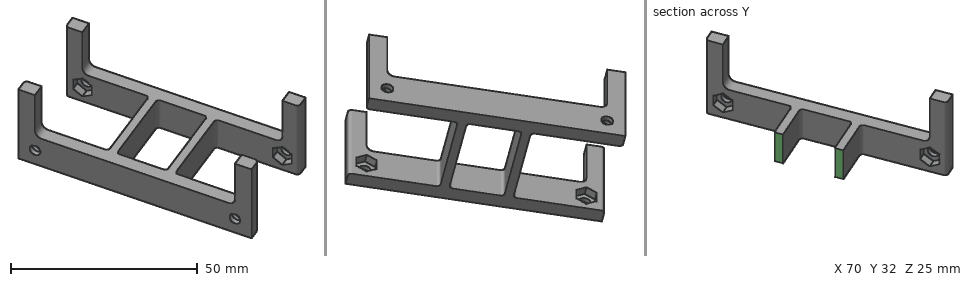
import math

import cadquery as cq

length = 70.0
width = 32.0
height = 25.0

plate_thickness = 4.0
rail_height = 10.0
post_width = 5.0
post_root_radius = 2.0
post_edge_radius = 1.0

rib_gap = 15.0
rib_thickness = 2.5
rib_corner_radius = 1.0

bolt_diameter = 3.2
bolt_height = rail_height / 2
nut_sides = 6
nut_across_flats = 5.6
nut_pocket_depth = 2.5

half_length = length / 2
half_width = width / 2
inner_face_y = half_width - plate_thickness
inner_width = 2 * inner_face_y
rib_inner_x = rib_gap / 2
rib_outer_x = rib_inner_x + rib_thickness
end_bay_length = half_length - rib_outer_x
post_inner_x = half_length - post_width
rail_end_x = post_inner_x - post_root_radius
post_foot_z = rail_height + post_root_radius
bolt_x = post_inner_x
nut_across_corners = nut_across_flats / math.cos(math.pi / nut_sides)


def make_side_plates():
    """U-shaped profile, extruded as two plates on the outer sides of the frame."""
    plate = (
        cq.Workplane("XZ", origin=(0, half_width, 0))
        .moveTo(-half_length, 0)
        .lineTo(half_length, 0)
        .lineTo(half_length, height)
        .lineTo(post_inner_x, height)
        .lineTo(post_inner_x, post_foot_z)
        .radiusArc((rail_end_x, rail_height), post_root_radius)
        .lineTo(-rail_end_x, rail_height)
        .radiusArc((-post_inner_x, post_foot_z), post_root_radius)
        .lineTo(-post_inner_x, height)
        .lineTo(-half_length, height)
        .close()
        .extrude(plate_thickness)
    )
    plate = plate.edges("|Z and (<X or >X)").edges("<Y").fillet(post_edge_radius)
    return plate.union(plate.mirror("XZ"))


def make_ribs():
    """Rail-height web with rounded bays: a closed middle window and two open ends."""
    web_length = 2 * (rib_outer_x + rib_corner_radius)
    web = cq.Workplane("XY").rect(web_length, inner_width).extrude(rail_height)

    window = (
        cq.Workplane("XY")
        .rect(rib_gap, inner_width)
        .extrude(rail_height)
        .edges("|Z")
        .fillet(rib_corner_radius)
    )
    web = web.cut(window)

    bay_center_x = rib_outer_x + end_bay_length / 2
    end_bays = (
        cq.Workplane("XY")
        .pushPoints([(-bay_center_x, 0), (bay_center_x, 0)])
        .rect(end_bay_length, inner_width)
        .extrude(rail_height)
        .edges("|Z")
        .fillet(rib_corner_radius)
    )
    return web.cut(end_bays)


def make_bolt_holes():
    """Round holes running through both plates."""
    return (
        cq.Workplane("XZ", origin=(0, half_width, 0))
        .pushPoints([(-bolt_x, bolt_height), (bolt_x, bolt_height)])
        .circle(bolt_diameter / 2)
        .extrude(width)
    )


def make_nut_pockets():
    """Hexagonal pockets with a corner pointing up, sunk into the inner face of both plates."""
    left_pocket = (
        cq.Workplane("XZ", origin=(-bolt_x, inner_face_y, bolt_height))
        .transformed(rotate=(0, 0, 90))
        .polygon(nut_sides, nut_across_corners)
        .extrude(-nut_pocket_depth)
    )
    pocket_pair = left_pocket.union(left_pocket.mirror("YZ"))
    return pocket_pair.union(pocket_pair.mirror("XZ"))


result = (
    make_side_plates()
    .union(make_ribs())
    .cut(make_bolt_holes())
    .cut(make_nut_pockets())
)